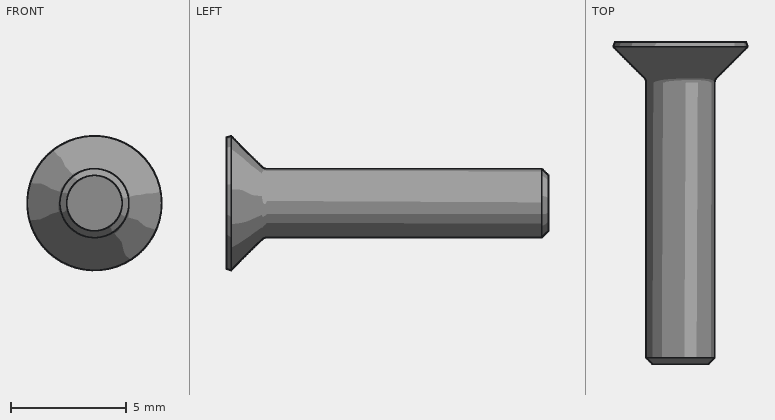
import cadquery as cq
import math

length = 14.0
head_radius = 2.93
shank_radius = 1.5
rim_height = 0.21
rim_inset = 0.07
neck_fillet = 0.3
tip_chamfer = 0.3
cone_half_angle = math.radians(45)

tip_y = -length / 2
top_y = length / 2
rim_y = top_y - rim_height

neck_radius = shank_radius + neck_fillet * (1 - math.cos(cone_half_angle))
neck_y = rim_y - (head_radius - neck_radius) / math.tan(cone_half_angle)
shank_end_y = neck_y - neck_fillet * math.sin(cone_half_angle)

profile = (
    cq.Workplane("XY")
    .moveTo(0, tip_y)
    .lineTo(shank_radius - tip_chamfer, tip_y)
    .lineTo(shank_radius, tip_y + tip_chamfer)
    .lineTo(shank_radius, shank_end_y)
    .tangentArcPoint((neck_radius, neck_y), relative=False)
    .lineTo(head_radius, rim_y)
    .lineTo(head_radius - rim_inset, top_y)
    .lineTo(0, top_y)
    .close()
)
result = profile.revolve(360, (0, 0, 0), (0, 1, 0))